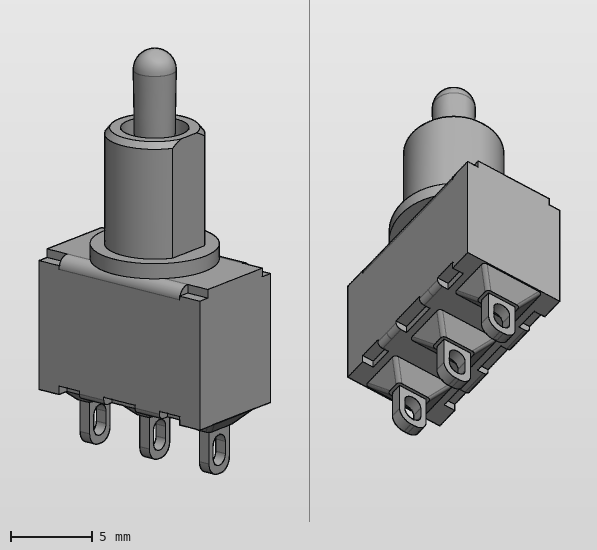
import cadquery as cq
import math


OVERALL_HEIGHT = 26.47

CASE_LENGTH = 12.7
CASE_WIDTH = 6.95
CASE_BOTTOM = 3.97
CASE_TOP = 12.9
STEP_DEPTH = 0.8
STEP_HEIGHT = 0.55
RIM_LENGTH = 9.53
RIM_RADIUS = STEP_DEPTH
LOWER_RIM_RADIUS = 0.37
LOWER_RIM_LENGTH = 1.93
LOWER_RIM_OFFSET = 2.2

FLANGE_DIAMETER = 7.97
FLANGE_THICKNESS = 0.98
BUSHING_DIAMETER = 6.2
BUSHING_TOP = 21.4
BUSHING_FLAT_X = 2.67
CHAMFER_HEIGHT = 0.4
CHAMFER_WIDTH = 0.32
FLANGE_TOP = CASE_TOP + FLANGE_THICKNESS

BALL_RADIUS = 4.2 / 2
BALL_CENTRE_Z = CASE_TOP
DOME_RADIUS = 2.67 / 2
LEVER_NECK_RADIUS = 1.27

TERMINAL_PITCH = 4.7
TERMINAL_THICKNESS = 0.77
TERMINAL_WIDTH = 2.0
TERMINAL_TIP_RADIUS = 0.87
SLOT_WIDTH = 1.2
SLOT_HEIGHT = 1.99
SLOT_CENTRE_Z = 1.54
SEAL_LENGTH = 3.12
SEAL_WIDTH = 4.42
SEAL_HEIGHT = 0.98
SEAL_TAPER = 45.0
SEAL_CORNER_RADIUS = 0.37


def box(length, width, bottom, top, x=0.0, y=0.0):
    """Upright box centred on (x, y), from height bottom to height top."""
    return cq.Workplane("XY", origin=(x, y, bottom)).rect(length, width).extrude(top - bottom)


def make_case():
    """Block whose long edges are rounded in the middle and stepped at the ends."""
    case = box(CASE_LENGTH, CASE_WIDTH, CASE_BOTTOM, CASE_TOP)
    for side in (-1, 1):
        case = case.cut(upper_edge_waste(side)).cut(lower_edge_waste(side))
    return case


def edge_strip(length, depth, bottom, top, side, x=0.0):
    """Box lying along one long edge of the case, on the -Y (side = -1) or +Y (side = 1) side."""
    return box(length, depth, bottom, top, x, side * (CASE_WIDTH - depth) / 2)


def rounding_waste(length, radius, edge_z, vertical, side, x=0.0):
    """Material outside a quarter round; vertical is 1 for an upper edge and -1 for a lower one."""
    axis_y = side * (CASE_WIDTH / 2 - radius)
    axis_z = edge_z - vertical * radius
    corner = edge_strip(length, radius, min(edge_z, axis_z), max(edge_z, axis_z), side, x)
    rod = cq.Workplane("YZ", origin=(x, axis_y, axis_z)).circle(radius).extrude(length / 2, both=True)
    return corner.cut(rod)


def upper_edge_waste(side):
    """Material outside the rounded upper rim, and the steps at both of its ends."""
    waste = rounding_waste(RIM_LENGTH, RIM_RADIUS, CASE_TOP, 1, side)
    step_length = (CASE_LENGTH - RIM_LENGTH) / 2
    for end in (-1, 1):
        step_x = end * (CASE_LENGTH - step_length) / 2
        step = edge_strip(step_length, STEP_DEPTH, CASE_TOP - STEP_HEIGHT, CASE_TOP, side, step_x)
        waste = waste.union(step)
    return waste


def lower_edge_waste(side):
    """Notch along the bottom edge that leaves two short rounded lengths standing in it."""
    notch = edge_strip(RIM_LENGTH, STEP_DEPTH, CASE_BOTTOM, CASE_BOTTOM + STEP_HEIGHT, side)
    for end in (-1, 1):
        rim_x = end * LOWER_RIM_OFFSET
        rim = edge_strip(LOWER_RIM_LENGTH, STEP_DEPTH, CASE_BOTTOM, CASE_BOTTOM + STEP_HEIGHT, side, rim_x)
        rim = rim.cut(rounding_waste(LOWER_RIM_LENGTH, LOWER_RIM_RADIUS, CASE_BOTTOM, -1, side, rim_x))
        notch = notch.cut(rim)
    return notch


def make_neck():
    """Round flange carrying the chamfered bushing with one flat side."""
    flange = cq.Workplane("XY", origin=(0, 0, CASE_TOP)).circle(FLANGE_DIAMETER / 2).extrude(FLANGE_THICKNESS)
    radius = BUSHING_DIAMETER / 2
    bushing = (
        cq.Workplane("XZ")
        .moveTo(0, FLANGE_TOP)
        .lineTo(radius, FLANGE_TOP)
        .lineTo(radius, BUSHING_TOP - CHAMFER_HEIGHT)
        .lineTo(radius - CHAMFER_WIDTH, BUSHING_TOP)
        .lineTo(0, BUSHING_TOP)
        .close()
        .revolve(360, (0, 0), (0, 1))
    )
    kept_length = radius + BUSHING_FLAT_X
    kept_x = BUSHING_FLAT_X - kept_length / 2
    kept = box(kept_length, BUSHING_DIAMETER, FLANGE_TOP, BUSHING_TOP, kept_x)
    return flange.union(bushing.intersect(kept))


def make_ball():
    """Ball at the foot of the lever."""
    return cq.Workplane("XY", origin=(0, 0, BALL_CENTRE_Z)).sphere(BALL_RADIUS)


def make_bore():
    """Bore through the neck, ending in a round seat that fits the lever ball."""
    bore = cq.Workplane("XY", origin=(0, 0, BALL_CENTRE_Z)).circle(BALL_RADIUS)
    return bore.extrude(BUSHING_TOP - BALL_CENTRE_Z).union(make_ball())


def make_terminal(x):
    """Tapered seal under the case with a slotted solder tab below it."""
    seal = (
        cq.Workplane("XY", origin=(x, 0, CASE_BOTTOM))
        .rect(SEAL_LENGTH, SEAL_WIDTH)
        .extrude(-SEAL_HEIGHT, taper=SEAL_TAPER)
        .edges("not #Z")
        .fillet(SEAL_CORNER_RADIUS)
    )
    tab = box(TERMINAL_THICKNESS, TERMINAL_WIDTH, 0, CASE_BOTTOM, x)
    tab = tab.edges("|X and <Z").fillet(TERMINAL_TIP_RADIUS)
    slot = (
        cq.Workplane("YZ", origin=(x, 0, SLOT_CENTRE_Z))
        .slot2D(SLOT_HEIGHT, SLOT_WIDTH, 90)
        .extrude(TERMINAL_THICKNESS, both=True)
    )
    return seal.union(tab.cut(slot))


def make_housing():
    """Case, neck and terminals as one body with the lever bore cut into it."""
    housing = make_case().union(make_neck()).cut(make_bore())
    for position in (-1, 0, 1):
        housing = housing.union(make_terminal(position * TERMINAL_PITCH))
    return housing


def make_lever():
    """Tapered lever with a domed tip, widening upward from its ball."""
    dome_z = OVERALL_HEIGHT - DOME_RADIUS
    taper = (DOME_RADIUS - LEVER_NECK_RADIUS) / (dome_z - BUSHING_TOP)
    foot_radius = DOME_RADIUS - taper * (dome_z - BALL_CENTRE_Z)
    dome_point = DOME_RADIUS * math.sqrt(0.5)
    stick = (
        cq.Workplane("XZ")
        .moveTo(0, BALL_CENTRE_Z)
        .lineTo(foot_radius, BALL_CENTRE_Z)
        .lineTo(DOME_RADIUS, dome_z)
        .threePointArc((dome_point, dome_z + dome_point), (0, OVERALL_HEIGHT))
        .close()
        .revolve(360, (0, 0), (0, 1))
    )
    return stick.union(make_ball())


housing = make_housing()
lever = make_lever()
result = cq.Compound.makeCompound([housing.val(), lever.val()])